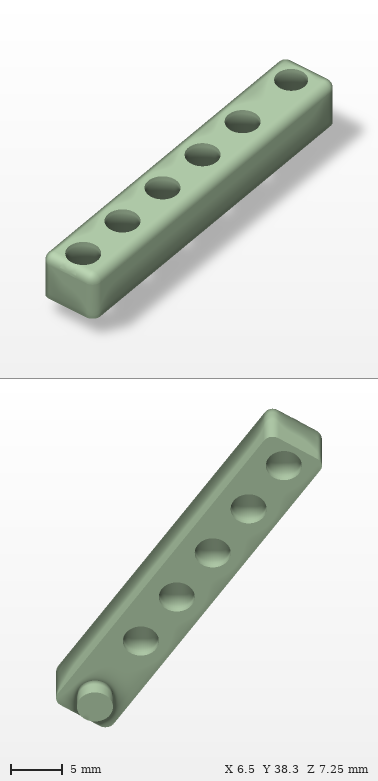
import cadquery as cq

BAR_WIDTH = 6.5
BAR_LENGTH = 38.32
BAR_HEIGHT = 5.3
EDGE_RADIUS = 1.0

HOLE_DIAMETER = 3.5
HOLE_PITCH = 6.32
PITCHED_HOLE_COUNT = 4
FIRST_HOLE_Y = 8.45
END_HOLE_Y = -16.7

PEG_X = -0.15
PEG_Y = 16.32
PIN_DIAMETER = 3.5
PIN_LENGTH = 1.95
SOCKET_DIAMETER = 3.3
SOCKET_DEPTH = 3.05


def make_bar():
    """Bar standing on Z = 0, with its upright edges rounded."""
    bar = cq.Workplane("XY").box(BAR_WIDTH, BAR_LENGTH, BAR_HEIGHT, centered=(True, True, False))
    return bar.edges("|Z").fillet(EDGE_RADIUS)


def cylinder(x, y, bottom, height, diameter):
    """Upright cylinder with its axis at (x, y)."""
    return cq.Workplane("XY", origin=(x, y, bottom)).circle(diameter / 2).extrude(height)


bar = make_bar()

hole_places = [FIRST_HOLE_Y - i * HOLE_PITCH for i in range(PITCHED_HOLE_COUNT)]
hole_places.append(END_HOLE_Y)
for hole_y in hole_places:
    bar = bar.cut(cylinder(0, hole_y, 0, BAR_HEIGHT, HOLE_DIAMETER))

bar = bar.faces(">Z").edges(">Y").fillet(EDGE_RADIUS)

socket = cylinder(PEG_X, PEG_Y, BAR_HEIGHT - SOCKET_DEPTH, SOCKET_DEPTH, SOCKET_DIAMETER)
pin = cylinder(PEG_X, PEG_Y, -PIN_LENGTH, PIN_LENGTH, PIN_DIAMETER)

result = bar.cut(socket).union(pin)